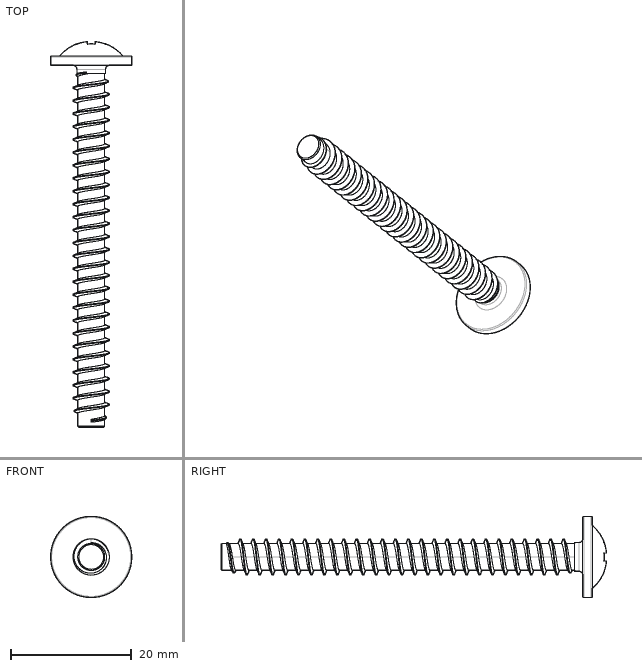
import cadquery as cq
import math

head_height = 4.0
flange_diameter = 13.5
flange_thickness = 1.6
flange_edge_radius = 0.2
dome_diameter = 10.5

recess_span = 4.7
recess_slot_width = 1.3
recess_depth = 1.9

shank_length = 59.9
core_diameter = 4.5
neck_diameter = 4.8
neck_length = 1.35
neck_fillet = 0.65
tip_chamfer = 0.2

thread_diameter = 6.0
thread_root_width = 0.8
thread_crest_width = 0.1
thread_overlap = 0.1
thread_turns = 27
thread_length = 57.8
thread_pitch = thread_length / thread_turns
thread_start_y = -58.8
runout_turns = 1.0
runout_foot_height = 0.1
points_per_turn = 24


def make_head():
    """Round-edged flange carrying a spherical dome."""
    flange_radius = flange_diameter / 2
    dome_radius = dome_diameter / 2
    dome_height = head_height - flange_thickness
    sphere_radius = (dome_radius**2 + dome_height**2) / (2 * dome_height)
    half_angle = math.asin(dome_radius / sphere_radius) / 2
    dome_mid = (
        sphere_radius * math.sin(half_angle),
        head_height - sphere_radius * (1 - math.cos(half_angle)),
    )
    flange = (
        cq.Workplane("XZ")
        .circle(flange_radius)
        .extrude(-flange_thickness)
        .edges()
        .fillet(flange_edge_radius)
    )
    dome = (
        cq.Workplane("XY")
        .lineTo(dome_radius, 0)
        .lineTo(dome_radius, flange_thickness)
        .threePointArc(dome_mid, (0, head_height))
        .close()
        .revolve(360, (0, 0, 0), (0, 1, 0))
    )
    return flange.union(dome)


def make_recess():
    """Cross-shaped driver recess sunk from the crown of the dome."""
    floor = cq.Workplane("XZ", origin=(0, head_height - recess_depth, 0))
    slot_x = floor.rect(recess_span, recess_slot_width).extrude(-recess_depth)
    slot_z = floor.rect(recess_slot_width, recess_span).extrude(-recess_depth)
    return slot_x.union(slot_z)


def make_neck():
    """Thicker collar under the head, blended into the seat by a concave fillet."""
    neck_radius = neck_diameter / 2
    fillet_mid = neck_fillet * (1 - math.sqrt(0.5))
    return (
        cq.Workplane("XY")
        .lineTo(neck_radius + neck_fillet, 0)
        .threePointArc((neck_radius + fillet_mid, -fillet_mid), (neck_radius, -neck_fillet))
        .lineTo(neck_radius, -neck_length)
        .lineTo(0, -neck_length)
        .close()
        .revolve(360, (0, 0, 0), (0, 1, 0))
    )


def make_core():
    """Plain rod under the thread, chamfered at the tip."""
    return (
        cq.Workplane("XZ")
        .circle(core_diameter / 2)
        .extrude(shank_length)
        .faces("<Y")
        .chamfer(tip_chamfer)
    )


def thread_crest_radius(turn):
    """Radius of the crest after a number of turns: full between the runouts, lower within them."""
    foot_radius = core_diameter / 2 + runout_foot_height
    full_radius = thread_diameter / 2
    turns_to_end = min(turn, thread_turns - turn)
    share = min(turns_to_end / runout_turns, 1)
    return foot_radius + share * (full_radius - foot_radius)


def thread_section(turn):
    """Corners of the trapezoid thread section after a number of turns from the tip end."""
    angle = 2 * math.pi * turn
    centre_y = thread_start_y + thread_pitch * turn
    root_radius = core_diameter / 2 - thread_overlap
    crest_radius = thread_crest_radius(turn)
    outline = (
        (root_radius, -thread_root_width / 2),
        (crest_radius, -thread_crest_width / 2),
        (crest_radius, thread_crest_width / 2),
        (root_radius, thread_root_width / 2),
    )
    return [
        cq.Vector(radius * math.sin(angle), centre_y + offset, radius * math.cos(angle))
        for radius, offset in outline
    ]


def make_thread():
    """Right-hand thread, closed by a small flat at both ends and built turn by turn."""
    faces = []
    for turn in range(thread_turns):
        sections = [
            thread_section(turn + step / points_per_turn) for step in range(points_per_turn + 1)
        ]
        edges = [cq.Edge.makeSpline(list(corner_path)) for corner_path in zip(*sections)]
        for edge, next_edge in zip(edges, edges[1:] + edges[:1]):
            faces.append(cq.Face.makeRuledSurface(edge, next_edge))
    for end_turn in (0, thread_turns):
        outline = cq.Wire.makePolygon(thread_section(end_turn), close=True)
        faces.append(cq.Face.makeFromWires(outline))
    return cq.Workplane(cq.Solid.makeSolid(cq.Shell.makeShell(faces)))


head = make_head().cut(make_recess()).union(make_neck())
result = head.union(make_core().union(make_thread()))